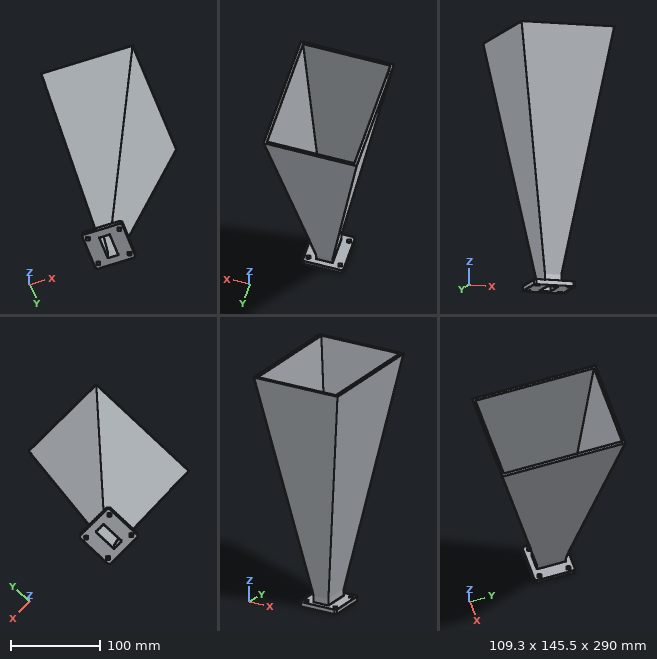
import cadquery as cq

total_height = 290.0
mouth_x = 109.3
mouth_y = 145.5

bore_x = 12.5
bore_y = 28.5
wall_x = 3.5
wall_y = 3.0
neck_x = bore_x + 2 * wall_x
neck_y = bore_y + 2 * wall_y

flange_side = 47.8
flange_thickness = 5.8
flange_chamfer = 2.0
bolt_spacing_x = 37.5
bolt_spacing_y = 34.2
bolt_hole_diameter = 4.4

flare_start = 13.3
flare_height = total_height - flare_start


def make_flange():
    """Square plate with chamfered corners and four through holes."""
    plate = (
        cq.Workplane("XY")
        .rect(flange_side, flange_side)
        .extrude(flange_thickness)
        .edges("|Z")
        .chamfer(flange_chamfer)
    )
    return (
        plate.faces(">Z")
        .workplane()
        .rect(bolt_spacing_x, bolt_spacing_y, forConstruction=True)
        .vertices()
        .hole(bolt_hole_diameter)
    )


def make_horn(throat_x, throat_y, end_x, end_y):
    """Solid straight throat followed by a flare to the mouth rectangle."""
    throat = cq.Workplane("XY").rect(throat_x, throat_y).extrude(flare_start)
    flare = (
        cq.Workplane("XY", origin=(0, 0, flare_start))
        .rect(throat_x, throat_y)
        .workplane(offset=flare_height)
        .rect(end_x, end_y)
        .loft(ruled=True)
    )
    return throat.union(flare)


outer_horn = make_horn(neck_x, neck_y, mouth_x, mouth_y)
inner_horn = make_horn(bore_x, bore_y, mouth_x - 2 * wall_x, mouth_y - 2 * wall_y)

result = make_flange().union(outer_horn).cut(inner_horn)